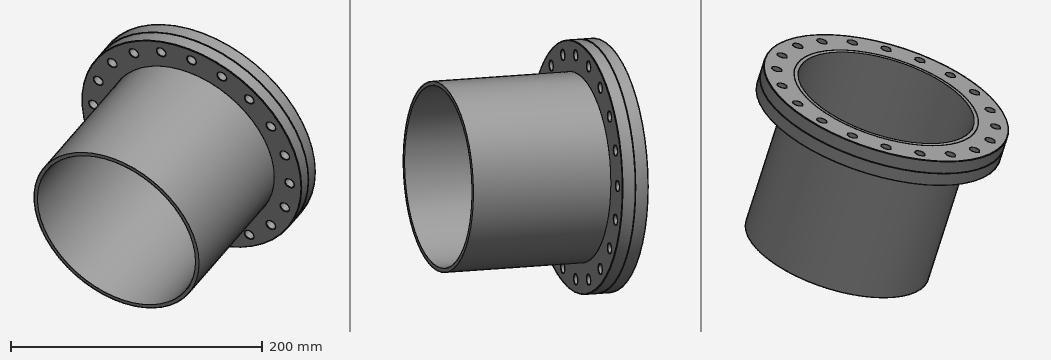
import cadquery as cq

flange_diameter = 203.0
flange_thickness = 22.3
overall_length = 139.7

tube_outer_diameter = 152.5
tube_inner_diameter = 146.0
flange_bore_diameter = 152.9

bolt_count = 20
bolt_hole_diameter = 8.3
bolt_hole_chamfer = 0.3
bolt_circle_diameter = 181.0
rim_chamfer = 0.5
groove_width = 0.6
groove_depth = 0.5
groove_position = flange_thickness / 2


def ring(outer_diameter, inner_diameter, length):
    """Plain ring that runs from Y = 0 toward -Y."""
    return (
        cq.Workplane("XZ")
        .circle(outer_diameter / 2)
        .circle(inner_diameter / 2)
        .extrude(length)
    )


def rim_groove():
    """V-shaped ring that cuts a marking groove around the middle of the flange rim."""
    rim_radius = flange_diameter / 2
    half_width = groove_width / 2
    return (
        cq.Workplane("XY")
        .moveTo(rim_radius, -groove_position - half_width)
        .lineTo(rim_radius - groove_depth, -groove_position)
        .lineTo(rim_radius, -groove_position + half_width)
        .close()
        .revolve(360, (0, 0, 0), (0, 1, 0))
    )


def bolt_holes():
    """Circle of through holes, with the first one on the X axis."""
    return (
        cq.Workplane("XZ")
        .polarArray(bolt_circle_diameter / 2, 0, 360, bolt_count)
        .circle(bolt_hole_diameter / 2)
        .extrude(flange_thickness)
    )


def make_flange():
    """Loose bolt ring with chamfered rim edges, a rim groove and chamfered bolt holes."""
    smallest_circles = cq.selectors.RadiusNthSelector(0)
    largest_circles = cq.selectors.RadiusNthSelector(-1)
    body = ring(flange_diameter, flange_bore_diameter, flange_thickness)
    body = body.edges(largest_circles).chamfer(rim_chamfer)
    body = body.cut(bolt_holes())
    body = body.faces("<Y").edges(smallest_circles).chamfer(bolt_hole_chamfer)
    return body.cut(rim_groove())


def make_tube():
    """Straight tube that passes through the flange, flush with its back face."""
    return ring(tube_outer_diameter, tube_inner_diameter, overall_length)


flange = make_flange()
tube = make_tube()

result = cq.Compound.makeCompound([flange.solids().val(), tube.val()])